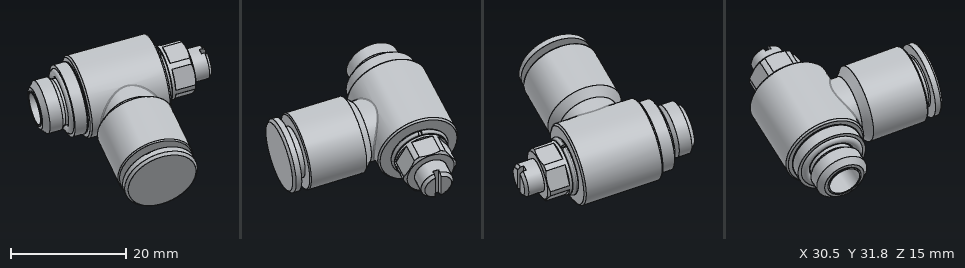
import cadquery as cq
import math


sleeve_radius = 7.5
sleeve_half_length = 7.5
sleeve_chamfer = 0.32
bore_radius = 4.92

neck_radius = 5.52
neck_fillet = 0.2
port_radius = 7.0
cone_end = 9.45
cone_start = cone_end - (port_radius - neck_radius)
port_end = 20.05
port_chamfer = 0.22
collet_radius = 4.67
collet_flare = 0.1
collet_flange_radius = 6.73
collet_flange_start = 21.5
collet_flare_start = collet_flange_start - 0.3
collet_flange_end = 23.02
collet_flange_chamfer = 0.48

bolt_end = -15.08
rim_height = 0.1
rim_radius = 3.18
thread_radius = 4.83
thread_tip_radius = 3.78
thread_tip_start = -14.0
thread_top = -11.62
relief_radius = 4.2
relief_start = -10.9
seal_flange_radius = 6.5
seal_flange_bottom = -10.0
seal_flange_top = -7.7
spacer_radius = 6.38
seal_ring_bottom = -10.65
seal_section_radius = 0.8
seal_ring_radius = 5.1
inlet_radius = 2.9
inlet_depth = 11.43
orifice_radius = 1.4
orifice_depth = 2.55

hex_flats = 9.02
hex_bottom = 9.18
hex_top = 13.1
hex_chamfer_height = 0.32
hex_chamfer_width = 0.55
ring_radius = 4.83
wire_radius = 0.48
ring_groove_radius = 4.75
ring_groove_top = 8.57
ring_center = 8.03
ring_gap = 0.57
screw_radius = 3.02
screw_tip_radius = 2.5
overall_length = 31.75
screw_tip = bolt_end + overall_length
screw_chamfer_height = 0.57
slot_width = 1.05
slot_depth = 1.17


def turned_about_y(points):
    """Solid of revolution about Y from (radius, y) points."""
    return cq.Workplane("XY").polyline(points).close().revolve(360, (0, 0, 0), (0, 1, 0))


def turned_about_x(points):
    """Solid of revolution about X from (x, radius) points."""
    return cq.Workplane("XY").polyline(points).close().revolve(360, (0, 0, 0), (1, 0, 0))


def cylinder_y(radius, start, end):
    """Cylinder on the Y axis between two Y positions."""
    return cq.Workplane("XZ", origin=(0, end, 0)).circle(radius).extrude(end - start)


def torus_about_y(radius, section_radius, center):
    """Ring of round section about the Y axis, centered at one Y position."""
    section = cq.Workplane("XY").center(radius, center).circle(section_radius)
    return section.revolve(360, (-radius, 0, 0), (-radius, 1, 0))


def make_sleeve():
    """Chamfered barrel of the elbow, still without its bore."""
    return cylinder_y(sleeve_radius, -sleeve_half_length, sleeve_half_length).edges().chamfer(sleeve_chamfer)


def make_port():
    """Port barrel with its cone and the release collet, beyond the neck."""
    return turned_about_x([
        (cone_start, 0),
        (cone_start, neck_radius),
        (cone_end, port_radius),
        (port_end - port_chamfer, port_radius),
        (port_end, port_radius - port_chamfer),
        (port_end, collet_radius),
        (collet_flare_start, collet_radius),
        (collet_flange_start, collet_radius + collet_flare),
        (collet_flange_start, collet_flange_radius),
        (collet_flange_end - collet_flange_chamfer, collet_flange_radius),
        (collet_flange_end, collet_flange_radius - collet_flange_chamfer),
        (collet_flange_end, 0),
    ])


def make_elbow():
    """Sleeve, neck and port in one piece, bored through for the bolt."""
    neck = cq.Workplane("YZ").circle(neck_radius).extrude(cone_start)
    elbow = make_sleeve().union(neck)
    seam_box = cq.selectors.BoxSelector(
        (0, -neck_radius, -neck_radius),
        (sleeve_radius, neck_radius, neck_radius),
    )
    elbow = elbow.edges(seam_box).fillet(neck_fillet)
    elbow = elbow.union(make_port())
    return elbow.cut(cylinder_y(bore_radius, -sleeve_half_length, sleeve_half_length))


def make_bolt_shank():
    """Turned bolt from the threaded end to the hexagon, with a shallow groove for the wire ring."""
    tip = bolt_end + rim_height
    return turned_about_y([
        (0, bolt_end),
        (rim_radius, bolt_end),
        (rim_radius, tip),
        (thread_tip_radius, tip),
        (thread_radius, thread_tip_start),
        (thread_radius, thread_top),
        (relief_radius, relief_start),
        (relief_radius, seal_flange_bottom),
        (seal_flange_radius, seal_flange_bottom),
        (seal_flange_radius, seal_flange_top),
        (spacer_radius, seal_flange_top),
        (spacer_radius, -sleeve_half_length),
        (bore_radius, -sleeve_half_length),
        (bore_radius, sleeve_half_length),
        (ring_groove_radius, sleeve_half_length),
        (ring_groove_radius, ring_groove_top),
        (bore_radius, ring_groove_top),
        (bore_radius, hex_bottom),
        (0, hex_bottom),
    ])


def make_seal_ring():
    """Round sealing ring half sunk in the underside of the flange."""
    return torus_about_y(seal_ring_radius, seal_section_radius, seal_ring_bottom + seal_section_radius)


def make_hexagon():
    """Hexagon with two flats facing +Z and -Z, its corners turned down to the bolt radius."""
    height = hex_top - hex_bottom
    prism = (
        cq.Workplane("XZ", origin=(0, hex_top, 0))
        .polygon(6, hex_flats / math.cos(math.pi / 6))
        .extrude(height)
    )
    blank = turned_about_y([
        (0, hex_bottom),
        (bore_radius, hex_bottom),
        (bore_radius, hex_top - hex_chamfer_height),
        (bore_radius - hex_chamfer_width, hex_top),
        (0, hex_top),
    ])
    return prism.intersect(blank)


def make_retaining_ring():
    """Round wire ring under the hexagon, split by a gap on the +Z side."""
    ring = torus_about_y(ring_radius, wire_radius, ring_center)
    gap = cq.Workplane("XY").rect(ring_gap, 4 * sleeve_half_length).extrude(sleeve_radius)
    return ring.cut(gap)


def make_screw():
    """Slotted adjusting screw above the hexagon."""
    screw = turned_about_y([
        (0, hex_top),
        (screw_radius, hex_top),
        (screw_radius, screw_tip - screw_chamfer_height),
        (screw_tip_radius, screw_tip),
        (0, screw_tip),
    ])
    slot = cq.Workplane("XY").box(slot_width, 2 * slot_depth, 2 * sleeve_radius).translate((0, screw_tip, 0))
    return screw.cut(slot)


def make_bolt():
    """Complete bolt with seal, hexagon, retaining ring, screw and inlet bore."""
    bolt = make_bolt_shank()
    for part in (make_seal_ring(), make_hexagon(), make_retaining_ring(), make_screw()):
        bolt = bolt.union(part)
    inlet_floor = bolt_end + inlet_depth
    bolt = bolt.cut(cylinder_y(inlet_radius, bolt_end, inlet_floor))
    return bolt.cut(cylinder_y(orifice_radius, inlet_floor, inlet_floor + orifice_depth))


elbow = make_elbow()
bolt = make_bolt()
result = cq.Compound.makeCompound([elbow.val(), bolt.val()])